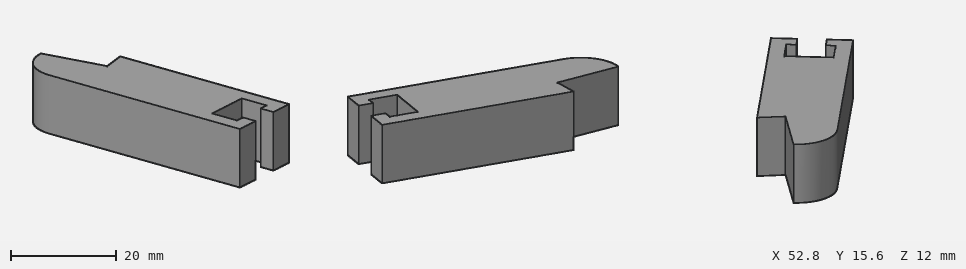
import cadquery as cq
import math

length = 52.8
width = 15.6
height = 12.0

nose_radius = width / 2
step_angle = math.radians(10)
step_length = 13.85

slot_depth = 8.85
slot_width = 9.4
mouth_width = 5.6
lip_thickness = 3.0

mid_y = width / 2


def make_body():
    """Bar with a quarter-round nose and a square-cornered, tilted step."""
    step_y = mid_y + step_length * math.tan(step_angle)
    shoulder_x = step_length - (width - step_y) * math.tan(step_angle)
    arc_mid = (
        nose_radius * (1 - math.cos(math.pi / 4)),
        nose_radius * (1 - math.sin(math.pi / 4)),
    )
    return (
        cq.Workplane("XY")
        .moveTo(0, mid_y)
        .threePointArc(arc_mid, (nose_radius, 0))
        .lineTo(length, 0)
        .lineTo(length, width)
        .lineTo(shoulder_x, width)
        .lineTo(step_length, step_y)
        .close()
        .extrude(height)
    )


def make_slot_box(x_start, x_end, box_width):
    """Full-height box centred across the bar's width."""
    return (
        cq.Workplane("XY")
        .center((x_start + x_end) / 2, mid_y)
        .rect(x_end - x_start, box_width)
        .extrude(height)
    )


slot_start = length - slot_depth
chamber = make_slot_box(slot_start, length - lip_thickness, slot_width)
mouth = make_slot_box(slot_start, length, mouth_width)

result = make_body().cut(chamber).cut(mouth)